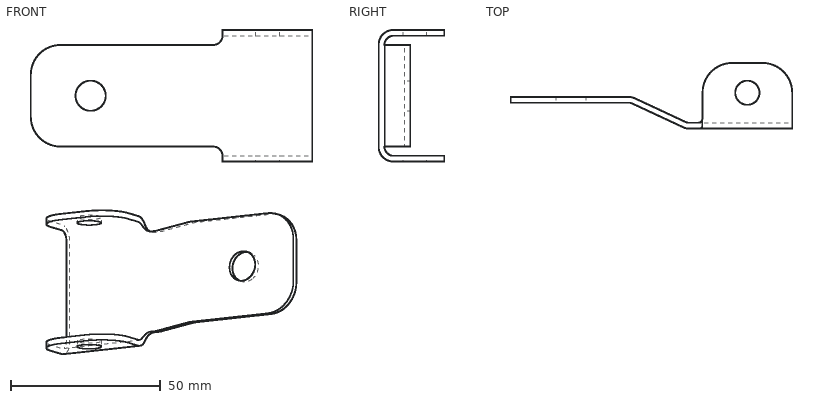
import cadquery as cq
import math

thickness = 2.0
inner_radius = 3.0
outer_radius = inner_radius + thickness

depth = 22.0
height = 44.0
strap_half_width = height / 2 - outer_radius

joggle_angle = math.radians(25)
mount_leg = 40.0
slope_leg = 20.0
channel_leg = 35.0
corner_setback = inner_radius * math.tan(joggle_angle / 2)
slope_straight = slope_leg - 2 * corner_setback
bends_run = (inner_radius + outer_radius) * math.sin(joggle_angle)
bends_rise = (inner_radius + outer_radius) * (1 - math.cos(joggle_angle))
joggle_start = mount_leg - corner_setback
joggle_end = joggle_start + bends_run + slope_straight * math.cos(joggle_angle)
joggle_offset = bends_rise + slope_straight * math.sin(joggle_angle)
length = joggle_end - corner_setback + channel_leg

mount_corner_radius = 10.0
mount_hole_diameter = 10.0
mount_hole_x = 20.0

tab_width = 30.0
tab_corner_radius = 10.0
tab_hole_diameter = 8.0
tab_hole_y = 12.0
tab_start = length - tab_width
relief_radius = 3.0


def bend_point(center, radius, angle, side):
    """Point on a joggle bend; side is +1 behind the bend centre and -1 in front of it."""
    return (
        center[0] + side * radius * math.sin(angle),
        center[1] + side * radius * math.cos(angle),
    )


def make_strap():
    """Joggled strap with rounded corners and a hole at the mounting end."""
    upper_center = (joggle_start, joggle_offset - inner_radius)
    lower_center = (joggle_end, outer_radius)
    half_angle = joggle_angle / 2

    def upper(radius, angle):
        return bend_point(upper_center, radius, angle, 1)

    def lower(radius, angle):
        return bend_point(lower_center, radius, angle, -1)

    strap = (
        cq.Workplane("XY")
        .workplane(offset=-strap_half_width)
        .moveTo(0, joggle_offset)
        .lineTo(*upper(inner_radius, 0))
        .threePointArc(upper(inner_radius, half_angle), upper(inner_radius, joggle_angle))
        .lineTo(*lower(outer_radius, joggle_angle))
        .threePointArc(lower(outer_radius, half_angle), lower(outer_radius, 0))
        .lineTo(length, 0)
        .lineTo(length, thickness)
        .lineTo(*lower(inner_radius, 0))
        .threePointArc(lower(inner_radius, half_angle), lower(inner_radius, joggle_angle))
        .lineTo(*upper(outer_radius, joggle_angle))
        .threePointArc(upper(outer_radius, half_angle), upper(outer_radius, 0))
        .lineTo(0, joggle_offset + thickness)
        .close()
        .extrude(2 * strap_half_width)
    )
    strap = strap.edges("|Y and <X").fillet(mount_corner_radius)
    mount_hole = (
        cq.Workplane("XZ")
        .center(mount_hole_x, 0)
        .circle(mount_hole_diameter / 2)
        .extrude(-depth)
    )
    return strap.cut(mount_hole)


def make_bend(start_x, end_x):
    """Quarter-round bend from the upper edge of the strap to the upper tab."""
    mid = math.sqrt(0.5)
    top = height / 2
    arc_y = outer_radius
    arc_z = strap_half_width
    return (
        cq.Workplane("YZ")
        .workplane(offset=start_x)
        .moveTo(0, arc_z)
        .threePointArc((arc_y - outer_radius * mid, arc_z + outer_radius * mid), (arc_y, top))
        .lineTo(arc_y, top - thickness)
        .threePointArc((arc_y - inner_radius * mid, arc_z + inner_radius * mid), (thickness, arc_z))
        .close()
        .extrude(end_x - start_x)
    )


def make_relief():
    """Concave fillet joining the strap edge to the end face of the upper bend."""
    relief_start = tab_start - relief_radius
    relief_top = strap_half_width + relief_radius
    mid = relief_radius * math.sqrt(0.5)
    fillet_prism = (
        cq.Workplane("XZ")
        .moveTo(relief_start, strap_half_width)
        .threePointArc((relief_start + mid, relief_top - mid), (tab_start, relief_top))
        .lineTo(tab_start, strap_half_width)
        .close()
        .extrude(-outer_radius)
    )
    return make_bend(relief_start, tab_start).intersect(fillet_prism)


def make_tab():
    """Flat upper tab with two rounded corners and a hole."""
    tab = (
        cq.Workplane("XY")
        .workplane(offset=height / 2 - thickness)
        .moveTo(tab_start, outer_radius)
        .rect(tab_width, depth - outer_radius, centered=False)
        .extrude(thickness)
        .edges("|Z and >Y")
        .fillet(tab_corner_radius)
    )
    tab_hole = (
        cq.Workplane("XY")
        .center(tab_start + tab_width / 2, tab_hole_y)
        .circle(tab_hole_diameter / 2)
        .extrude(height)
    )
    return tab.cut(tab_hole)


upper_flange = make_bend(tab_start, length).union(make_tab()).union(make_relief())
lower_flange = upper_flange.mirror("XY")
result = make_strap().union(upper_flange).union(lower_flange)